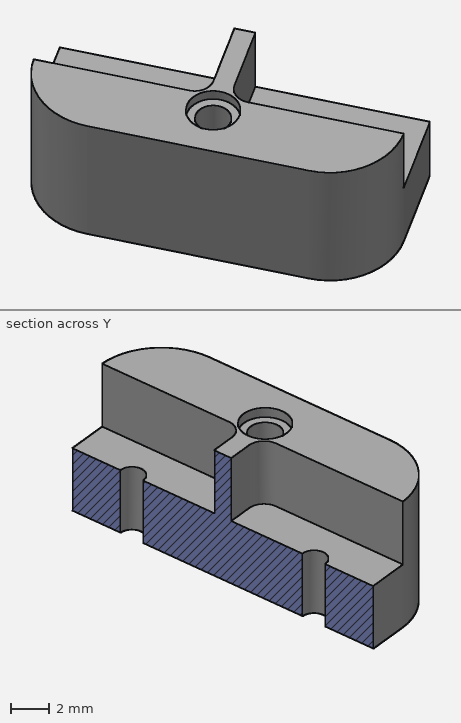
import cadquery as cq

length = 20.0
depth = 8.95
height = 8.0
corner_radius = 4.0

ledge_depth = 5.0
ledge_height = 4.0
rib_width = 1.15
rib_root_radius = 1.0

screw_hole_diameter = 1.5
screw_hole_spacing = 12.1
screw_hole_from_back = 2.55

center_hole_diameter = 1.9
counterbore_diameter = 2.85
counterbore_depth = 0.6
center_hole_from_front = 2.88

ledge_length = (length - rib_width) / 2


def make_block():
    block = cq.Workplane("XY").box(length, depth, height, centered=(True, False, False))
    return block.edges("|Z and <Y").fillet(corner_radius)


def make_ledge_cutter(side):
    """Space above one ledge; its inner front edge is rounded to fillet the rib root."""
    center_x = side * (rib_width + ledge_length) / 2
    cutter = (
        cq.Workplane("XY", origin=(center_x, depth - ledge_depth, ledge_height))
        .box(ledge_length, ledge_depth, height - ledge_height, centered=(True, False, False))
    )
    inner_edge = "<X" if side > 0 else ">X"
    return cutter.edges("|Z and <Y").edges(inner_edge).fillet(rib_root_radius)


result = make_block()
for side in (-1, 1):
    result = result.cut(make_ledge_cutter(side))

screw_hole_y = depth - screw_hole_from_back
screw_hole_centers = [(side * screw_hole_spacing / 2, screw_hole_y) for side in (-1, 1)]
screw_holes = (
    cq.Workplane("XY")
    .pushPoints(screw_hole_centers)
    .circle(screw_hole_diameter / 2)
    .extrude(height)
)
result = result.cut(screw_holes)

result = (
    result.faces(">Z")
    .workplane(origin=(0, center_hole_from_front, height))
    .cboreHole(center_hole_diameter, counterbore_diameter, counterbore_depth)
)